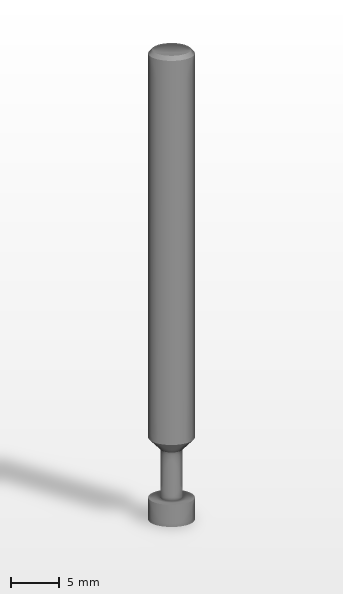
import cadquery as cq

total_length = 50.8
body_diameter = 4.8

head_height = 2.4

neck_diameter = 2.3
neck_length = 5.25

top_chamfer = 0.4

body_radius = body_diameter / 2
neck_radius = neck_diameter / 2
neck_top = head_height + neck_length

taper_height = body_radius - neck_radius
taper_top = neck_top + taper_height

result = (
    cq.Workplane("XZ")
    .moveTo(0, 0)
    .lineTo(body_radius, 0)
    .lineTo(body_radius, head_height)
    .lineTo(neck_radius, head_height)
    .lineTo(neck_radius, neck_top)
    .lineTo(body_radius, taper_top)
    .lineTo(body_radius, total_length - top_chamfer)
    .lineTo(body_radius - top_chamfer, total_length)
    .lineTo(0, total_length)
    .close()
    .revolve(360, (0, 0, 0), (0, 1, 0))
)